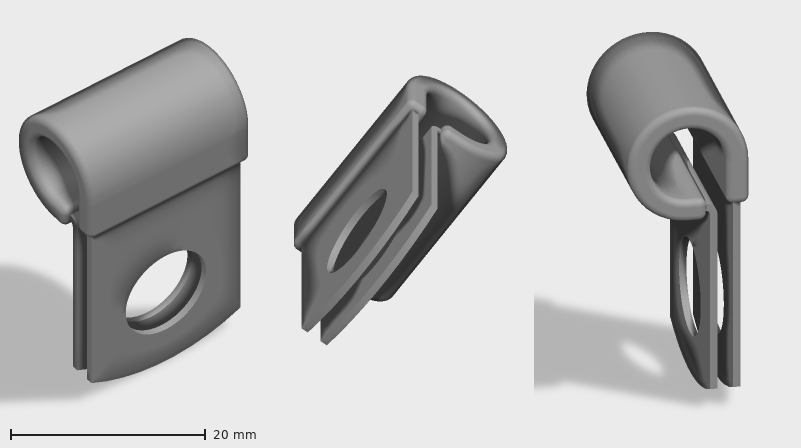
import cadquery as cq
import math

total_height = 34.12
sleeve_width = 20.65
sleeve_outer_diameter = 12.73
sleeve_outer_radius = sleeve_outer_diameter / 2
sleeve_thickness = 2.4
sleeve_edge_radius = 0.75
sleeve_leg_length = 4.8
sleeve_foot_length = 1.88

strap_width = 19.07
strap_thickness = 0.8
bend_inner_radius = 0.48
hole_radius = 5.15
hole_depth_from_top = 24.55
end_arc_rise = 2.15

mid_radius = sleeve_outer_radius - sleeve_thickness / 2
bottom_z = sleeve_outer_radius - total_height
hole_z = sleeve_outer_radius - hole_depth_from_top
bend_outer_radius = bend_inner_radius + strap_thickness
diagonal = math.sqrt(0.5)
selection_margin = 0.35
embed = sleeve_edge_radius


def box_between(x_min, x_max, z_min, z_max, width):
    """Box centred on Y, bounded by the given X and Z limits."""
    return cq.Workplane("XY").box(x_max - x_min, width, z_max - z_min).translate(
        ((x_min + x_max) / 2, 0, (z_min + z_max) / 2)
    )


def make_sleeve():
    """Three-quarter loop with a straight run at each end and all outer edges rounded."""
    outer = sleeve_outer_radius
    inner = outer - sleeve_thickness
    sleeve = (
        cq.Workplane("XZ")
        .moveTo(sleeve_foot_length, -outer)
        .lineTo(0, -outer)
        .threePointArc((-outer * diagonal, outer * diagonal), (outer, 0))
        .lineTo(outer, -sleeve_leg_length)
        .lineTo(inner, -sleeve_leg_length)
        .lineTo(inner, 0)
        .threePointArc((-inner * diagonal, inner * diagonal), (0, -inner))
        .lineTo(sleeve_foot_length, -inner)
        .close()
        .extrude(sleeve_width / 2, both=True)
    )
    leg_end = cq.selectors.BoxSelector(
        (inner - selection_margin, -sleeve_width, -sleeve_leg_length - selection_margin),
        (outer + selection_margin, sleeve_width, -sleeve_leg_length + selection_margin),
    )
    foot_end = cq.selectors.BoxSelector(
        (sleeve_foot_length - selection_margin, -sleeve_width, -outer - selection_margin),
        (sleeve_foot_length + selection_margin, sleeve_width, -inner + selection_margin),
    )
    side_edges = sleeve.faces("<Y or >Y").edges()
    end_edges = sleeve.edges(leg_end).add(sleeve.edges(foot_end))
    return side_edges.add(end_edges).fillet(sleeve_edge_radius)


def make_strap():
    """Two parallel tabs; the inner one bends into the foot of the sleeve."""
    half = strap_thickness / 2
    bend_x = sleeve_foot_length
    tab_outer_x = bend_x + bend_outer_radius
    tab_inner_x = bend_x + bend_inner_radius
    strap_top = -mid_radius + half
    bend_z = strap_top - bend_outer_radius

    def bend_middle(radius):
        return (bend_x + radius * diagonal, bend_z + radius * diagonal)

    bent_tab = (
        cq.Workplane("XZ")
        .moveTo(bend_x - embed, strap_top)
        .lineTo(bend_x, strap_top)
        .threePointArc(bend_middle(bend_outer_radius), (tab_outer_x, bend_z))
        .lineTo(tab_outer_x, bottom_z)
        .lineTo(tab_inner_x, bottom_z)
        .lineTo(tab_inner_x, bend_z)
        .threePointArc(bend_middle(bend_inner_radius), (bend_x, strap_top - strap_thickness))
        .lineTo(bend_x - embed, strap_top - strap_thickness)
        .close()
        .extrude(strap_width / 2, both=True)
    )
    straight_tab = box_between(
        mid_radius - half, mid_radius + half, bottom_z, -sleeve_leg_length + embed, strap_width
    )
    half_width = strap_width / 2
    corner_z = bottom_z + end_arc_rise
    outline = (
        cq.Workplane("YZ")
        .moveTo(-half_width, 0)
        .lineTo(-half_width, corner_z)
        .threePointArc((0, bottom_z), (half_width, corner_z))
        .lineTo(half_width, 0)
        .close()
        .extrude(sleeve_outer_radius)
    )
    hole = (
        cq.Workplane("YZ").center(0, hole_z).circle(hole_radius).extrude(sleeve_outer_radius)
    )
    return bent_tab.union(straight_tab).intersect(outline).cut(hole)


result = make_sleeve().union(make_strap())